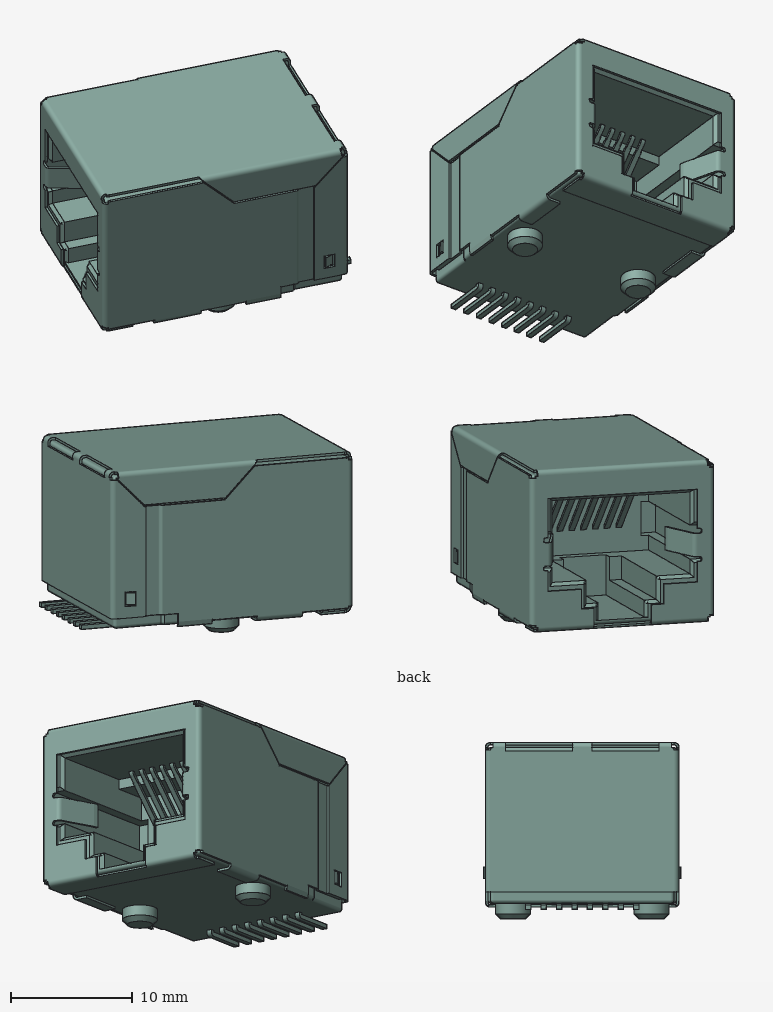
import cadquery as cq
import math

SHIELD_WIDTH = 15.9
SHIELD_DEPTH = 21.32
SHIELD_HEIGHT = 13.5
SHEET = 0.2
BEND = 2 * SHEET
HALF_WIDTH = SHIELD_WIDTH / 2

CORNER_RELIEF = 0.61
RELIEF_DEPTH = 0.43
MOUTH_HALF_WIDTHS = (6.45, 3.56, 2.47)
MOUTH_TOP = 11.15
MOUTH_STEPS = (3.4, 1.75)
SPRING_BOTTOM = 5.52
SPRING_TOP = 7.47
SPRING_SLOT = 0.4
SPRING_SLOT_END = 6.83
SPRING_ANGLE = 20.6
SPRING_TIP_X = 4.95
LIP_LENGTH = 0.43
LIP_OFFSET = 0.1
FLAP_FRONT = 8.4
FLAP_DROP = 2.88
FLAP_GAP = 0.15
FLAP_SIDE_GAP = 0.1
REAR_FLAP_FRONT = 18.32
REAR_BOTTOM = 1.25
NOTCH_FRONT = 15.44
JOG_LEAD = 16.65
JOG_START = 16.87
JOG_END = 17.02
JOG_ROUND = 0.15
JOG_REAR = 20.32
PANEL_BOTTOM = 0.45
FRONT_TAB_DEPTH = 2.7
SIDE_TAB = (4.47, 8.5)
SIDE_TAB_REACH = 1.36
REAR_TAB = (12.45, NOTCH_FRONT)
REAR_TAB_Z = (0.14, 0.55)
REAR_TAB_LEAN = 0.1
TOP_SLIT_X = (0.8, 6.29)
TOP_SLIT_DEPTH = 0.65
TOP_SLIT_DROP = 0.68
BARB_Y = (19.18, 20.13)
BARB_Z = (2.22, 3.43)
BARB_TONGUE_Y = (19.27, 20.0)
BARB_MARGIN = 0.11
BARB_REACH = 0.14

HOUSING_FRONT = SHEET
HOUSING_REAR = 20.93
HOUSING_BOTTOM = 0.32
HOUSING_TOP = SHIELD_HEIGHT - BEND
HOUSING_HALF = HALF_WIDTH - SHEET
REAR_HALF = HOUSING_HALF - SHEET
HOUSING_JOG = (16.57, 16.8)
HOUSING_ROUND = 0.27
CAVITY_HALF_WIDTHS = (5.95, 3.02, 1.97)
CAVITY_TOP = 10.87
CAVITY_STEPS = (4.05, 2.09)
CAVITY_FLOOR = 0.68
CAVITY_DEPTHS = (11.35, 9.53, 10.45)
MOUTH_CHAMFER = 0.27
POCKET_X = (5.31, 6.92)
POCKET_Z = (5.27, 8.1)
POCKET_DEPTH = 12.48
LEDGE_BOTTOM = 10.05
LEDGE_FRONT = 8.17
CONTACT_COUNT = 8
CONTACT_PITCH = 1.017
CONTACT_SHIFT = -0.18
CONTACT_WIDTH = 0.48
CONTACT_TOP_WIDTH = 0.39
CONTACT_BOTTOM = 6.05
CONTACT_THICKNESS = 0.23
CONTACT_BEND = 0.5
PIN_PITCH = 1.265
PIN_WIDTH = 0.45
PIN_THICKNESS = 0.36
PIN_BOTTOM = -0.18
PIN_FRONT = 18.8
PIN_TIP = 22.7
PEG_X = 5.68
PEG_Y = 10.75
PEG_DIAMETER = 2.88
PEG_CHAMFER = 0.4
PEG_BOTTOM = -0.95

SIDES = (-1, 1)


def block(x_range, y_range, z_range):
    """Box between two limits on each axis, given in either order."""
    limits = [sorted(r) for r in (x_range, y_range, z_range)]
    sizes = [high - low for low, high in limits]
    return cq.Workplane("XY").box(*sizes, centered=False).translate(tuple(low for low, high in limits))


def mouth_outline(half_widths, top, steps, bottom):
    """Points of the stepped plug opening, in X and Z."""
    right = [
        (half_widths[0], top),
        (half_widths[0], steps[0]),
        (half_widths[1], steps[0]),
        (half_widths[1], steps[1]),
        (half_widths[2], steps[1]),
        (half_widths[2], bottom),
    ]
    left = [(-x, z) for x, z in reversed(right)]
    return right + left


def front_prism(points, front, depth, taper=0):
    """Extrude an X-Z outline from Y = front toward the rear."""
    plane = cq.Workplane(cq.Plane((0, front, 0), xDir=(1, 0, 0), normal=(0, -1, 0)))
    return plane.polyline(points).close().extrude(-depth, taper=taper)


def side_prism(points, x_range):
    """Extrude a Y-Z outline between two X limits."""
    low, high = sorted(x_range)
    return cq.Workplane("YZ").workplane(offset=low).polyline(points).close().extrude(high - low)




def shield_skin():
    """Hollow sheet metal box with rounded bends."""
    outer = block((-HALF_WIDTH, HALF_WIDTH), (0, SHIELD_DEPTH), (0, SHIELD_HEIGHT))
    inner_half = HALF_WIDTH - SHEET
    inner = block((-inner_half, inner_half), (SHEET, SHIELD_DEPTH - SHEET), (SHEET, SHIELD_HEIGHT - SHEET))
    return outer.edges().fillet(BEND).cut(inner.edges().fillet(BEND - SHEET))


def cut_corner_reliefs(shield):
    """Open the corners, shortening each of the three bends that meet there."""
    for side in SIDES:
        for y, inward_y in ((0, 1), (SHIELD_DEPTH, -1)):
            for z, inward_z in ((0, 1), (SHIELD_HEIGHT, -1)):
                for longest in range(3):
                    reach = [RELIEF_DEPTH] * 3
                    reach[longest] = CORNER_RELIEF
                    relief = block(
                        (side * HALF_WIDTH, side * (HALF_WIDTH - reach[0])),
                        (y, y + inward_y * reach[1]),
                        (z, z + inward_z * reach[2]),
                    )
                    shield = shield.cut(relief)
    return shield


def cut_underside(shield):
    """Open the underside, leaving only the front tab and one bent tab on each side panel."""
    full_x = (-HALF_WIDTH, HALF_WIDTH)
    tab_inner = HALF_WIDTH - SIDE_TAB_REACH
    shield = shield.cut(block(full_x, (FRONT_TAB_DEPTH, SIDE_TAB[0]), (0, PANEL_BOTTOM)))
    shield = shield.cut(block(full_x, (SIDE_TAB[1], SHIELD_DEPTH), (0, PANEL_BOTTOM)))
    shield = shield.cut(block((-tab_inner, tab_inner), SIDE_TAB, (0, BEND)))
    shield = shield.cut(block(full_x, REAR_TAB, (0, REAR_TAB_Z[1])))
    shield = shield.cut(block(full_x, (NOTCH_FRONT, SHIELD_DEPTH), (0, REAR_BOTTOM)))
    for side in SIDES:
        bend_x = (side * (HALF_WIDTH - BEND), side * HALF_WIDTH)
        shield = shield.cut(block(bend_x, (BEND, FRONT_TAB_DEPTH), (0, PANEL_BOTTOM)))
    return shield


def rear_tab(side):
    """Short tab continuing the side panel downward, leaning inward."""
    low, high = REAR_TAB_Z
    inner = HALF_WIDTH - SHEET
    points = [
        (side * HALF_WIDTH, high),
        (side * inner, high),
        (side * (inner - REAR_TAB_LEAN), low),
        (side * (HALF_WIDTH - REAR_TAB_LEAN), low),
    ]
    return front_prism(points, REAR_TAB[0], REAR_TAB[1] - REAR_TAB[0])


def cut_mouth(shield):
    """Stepped plug opening, with a relief slot above and below each spring."""
    outline = mouth_outline(MOUTH_HALF_WIDTHS, MOUTH_TOP, MOUTH_STEPS, SHEET)
    shield = shield.cut(front_prism(outline, 0, BEND))
    latch_half = MOUTH_HALF_WIDTHS[2]
    shield = shield.cut(block((-latch_half, latch_half), (0, BEND / 2), (0, SHEET)))
    slot_length = 2 * (SPRING_SLOT_END - MOUTH_HALF_WIDTHS[0])
    for side in SIDES:
        for z in (SPRING_TOP + SPRING_SLOT / 2, SPRING_BOTTOM - SPRING_SLOT / 2):
            slot = (
                cq.Workplane("XZ")
                .center(side * MOUTH_HALF_WIDTHS[0], z)
                .slot2D(slot_length, SPRING_SLOT)
                .extrude(-SHEET)
            )
            shield = shield.cut(slot)
    return shield


def spring(side):
    """Ground spring folded back from the edge of the opening into the cavity."""
    angle = math.radians(SPRING_ANGLE)
    root_x = MOUTH_HALF_WIDTHS[0]
    normal = (-math.cos(angle), -math.sin(angle))
    middle_angle = (angle + math.pi / 2) / 2
    middle = (-math.cos(middle_angle), -math.sin(middle_angle))

    def on_bend(radius, direction):
        return (root_x + radius * direction[0], BEND + radius * direction[1])

    face_start = on_bend(BEND, normal)
    back_start = on_bend(BEND - SHEET, normal)
    tip_y = face_start[1] + (face_start[0] - SPRING_TIP_X) / math.tan(angle)
    lip_end = (SPRING_TIP_X - LIP_OFFSET, tip_y + LIP_LENGTH)
    profile = (
        cq.Workplane("XY")
        .workplane(offset=SPRING_BOTTOM)
        .moveTo(root_x, 0)
        .threePointArc(on_bend(BEND, middle), face_start)
        .lineTo(SPRING_TIP_X, tip_y)
        .lineTo(*lip_end)
        .lineTo(lip_end[0] + SHEET, lip_end[1])
        .lineTo(SPRING_TIP_X + SHEET, tip_y)
        .lineTo(*back_start)
        .threePointArc(on_bend(BEND - SHEET, middle), (root_x, SHEET))
        .close()
    )
    blade = profile.extrude(SPRING_TOP - SPRING_BOTTOM)
    return blade if side > 0 else blade.mirror("YZ")


def flap_outline(drop, end_shift):
    """Side flap as a trapezoid with 45 degree ends, each moved outward by end_shift."""
    front = FLAP_FRONT - end_shift
    rear = SHIELD_DEPTH + end_shift
    return [
        (front, SHIELD_HEIGHT),
        (front + drop, SHIELD_HEIGHT - drop),
        (rear - drop, SHIELD_HEIGHT - drop),
        (rear, SHIELD_HEIGHT),
    ]


def shape_side(shield, side):
    """Divide one side wall into the front panel, the top flap and the rear flap."""
    wall_x = (side * (HALF_WIDTH - BEND), side * HALF_WIDTH)
    panel_top = SHIELD_HEIGHT - FLAP_DROP - FLAP_GAP
    bend_bottom = SHIELD_HEIGHT - BEND

    gap = side_prism(flap_outline(FLAP_DROP + FLAP_GAP, FLAP_SIDE_GAP), wall_x)
    gap = gap.cut(side_prism(flap_outline(FLAP_DROP, 0), wall_x))
    rear_corner = block(wall_x, (SHIELD_DEPTH - BEND, SHIELD_DEPTH), (0, SHIELD_HEIGHT))
    shield = shield.cut(gap.cut(rear_corner))

    open_bend = [
        (0, SHIELD_HEIGHT),
        (FLAP_FRONT, SHIELD_HEIGHT),
        (FLAP_FRONT + BEND, bend_bottom),
        (0, bend_bottom),
    ]
    shield = shield.cut(side_prism(open_bend, wall_x))
    shield = shield.cut(block(wall_x, (JOG_LEAD, REAR_FLAP_FRONT), (0, panel_top)))
    return shield.union(joggled_panel(side, panel_top))


def joggled_panel(side, top):
    """Rear end of the side panel, stepped inward by one sheet to pass under the rear flap."""
    outer = HALF_WIDTH
    middle = outer - SHEET
    inner = middle - SHEET
    points = [
        (outer, JOG_LEAD),
        (outer, JOG_START),
        (middle, JOG_END),
        (middle, JOG_REAR),
        (inner, JOG_REAR),
        (inner, JOG_END),
        (middle, JOG_START),
        (middle, JOG_LEAD),
    ]
    plan = cq.Workplane("XY").workplane(offset=REAR_BOTTOM).polyline(points).close()
    panel = plan.extrude(top - REAR_BOTTOM)
    bends = cq.selectors.BoxSelector(
        (0, JOG_START - JOG_ROUND, 0),
        (HALF_WIDTH + SHEET, JOG_END + JOG_ROUND, top),
    )
    panel = panel.edges("|Z").edges(bends).fillet(JOG_ROUND)
    return panel if side > 0 else panel.mirror("YZ")


def add_barb(shield, side):
    """Tongue of the joggled panel that leans outward through a window in the rear flap."""
    outer = HALF_WIDTH
    middle = outer - SHEET
    shield = shield.cut(block((side * middle, side * outer), BARB_Y, BARB_Z))
    tip, root = BARB_TONGUE_Y
    points = [
        (side * middle, root),
        (side * (outer + BARB_REACH), tip),
        (side * (middle + BARB_REACH), tip),
        (side * (middle - SHEET), root),
    ]
    low = BARB_Z[0] + BARB_MARGIN
    high = BARB_Z[1] - BARB_MARGIN
    tongue = cq.Workplane("XY").workplane(offset=low).polyline(points).close().extrude(high - low)
    return shield.union(tongue)


def cut_top_slits(shield):
    """Two openings along the rear top bend."""
    for side in SIDES:
        x_range = (side * TOP_SLIT_X[0], side * TOP_SLIT_X[1])
        y_range = (SHIELD_DEPTH - TOP_SLIT_DEPTH, SHIELD_DEPTH)
        shield = shield.cut(block(x_range, y_range, (SHIELD_HEIGHT - TOP_SLIT_DROP, SHIELD_HEIGHT)))
    return shield


def build_shield():
    shield = cut_corner_reliefs(shield_skin())
    shield = cut_underside(shield)
    shield = cut_mouth(shield)
    shield = cut_top_slits(shield)
    for side in SIDES:
        shield = shape_side(shield, side)
        shield = add_barb(shield, side)
        shield = shield.union(spring(side))
        shield = shield.union(rear_tab(side))
    return shield




def housing_block():
    """Rounded block, narrower behind the joggle of the shield."""
    right = [
        (HOUSING_HALF, HOUSING_FRONT),
        (HOUSING_HALF, HOUSING_JOG[0]),
        (REAR_HALF, HOUSING_JOG[1]),
        (REAR_HALF, HOUSING_REAR),
    ]
    left = [(-x, y) for x, y in reversed(right)]
    plan = cq.Workplane("XY").workplane(offset=HOUSING_BOTTOM).polyline(right + left).close()
    body = plan.extrude(HOUSING_TOP - HOUSING_BOTTOM)
    body = body.edges("|Z and (<Y or >Y)").fillet(HOUSING_ROUND)
    return body.faces("<Z or >Z").edges().fillet(HOUSING_ROUND)


def cut_cavity(body):
    """Plug cavity with a chamfered mouth and a separate depth for each width."""
    ceilings = (CAVITY_TOP, CAVITY_STEPS[0], CAVITY_STEPS[0])
    floors = CAVITY_STEPS + (CAVITY_FLOOR,)
    for half, back, ceiling, floor in zip(CAVITY_HALF_WIDTHS, CAVITY_DEPTHS, ceilings, floors):
        body = body.cut(block((-half, half), (HOUSING_FRONT, back), (floor, ceiling)))
    ledge_x = (-CAVITY_HALF_WIDTHS[0], CAVITY_HALF_WIDTHS[0])
    ledge = block(ledge_x, (LEDGE_FRONT, CAVITY_DEPTHS[0]), (LEDGE_BOTTOM, CAVITY_TOP))
    body = body.union(ledge)

    mouth = mouth_outline(
        [half + MOUTH_CHAMFER for half in CAVITY_HALF_WIDTHS],
        CAVITY_TOP + MOUTH_CHAMFER,
        [step - MOUTH_CHAMFER for step in CAVITY_STEPS],
        CAVITY_FLOOR - MOUTH_CHAMFER,
    )
    chamfer = front_prism(mouth, HOUSING_FRONT, MOUTH_CHAMFER, taper=45)
    above_floor = block((-HALF_WIDTH, HALF_WIDTH), (0, HOUSING_REAR), (CAVITY_FLOOR, SHIELD_HEIGHT))
    return body.cut(chamfer.intersect(above_floor))


def cut_spring_pocket(body, side):
    """Clearance for one spring, chamfered above and below at the front."""
    x_range = (side * POCKET_X[0], side * POCKET_X[1])
    body = body.cut(block(x_range, (HOUSING_FRONT, POCKET_DEPTH), POCKET_Z))
    low, high = POCKET_Z
    front = HOUSING_FRONT
    chamfer = [
        (front, low - MOUTH_CHAMFER),
        (front + MOUTH_CHAMFER, low),
        (front + MOUTH_CHAMFER, high),
        (front, high + MOUTH_CHAMFER),
    ]
    return body.cut(side_prism(chamfer, x_range))


def row_positions(pitch, shift=0):
    """X positions of a row of contacts or pins, centred on shift."""
    return [shift + (i - (CONTACT_COUNT - 1) / 2) * pitch for i in range(CONTACT_COUNT)]


def contact(x):
    """Contact that curves out of the cavity roof and slopes back at 45 degrees, narrower near the roof."""
    slope = math.radians(45)
    back = CAVITY_DEPTHS[0]
    inner_bend = CONTACT_BEND - CONTACT_THICKNESS
    back_height = CONTACT_THICKNESS / math.cos(slope)
    centre_y = back - (CAVITY_TOP - CONTACT_BOTTOM) + CONTACT_BEND / math.sin(slope)

    def on_bend(radius, angle):
        return (centre_y - radius * math.cos(angle), CAVITY_TOP - radius * math.sin(angle))

    wide_half = CONTACT_WIDTH / 2
    narrow_half = CONTACT_TOP_WIDTH / 2
    profile = (
        cq.Workplane("YZ")
        .workplane(offset=x - wide_half)
        .moveTo(*on_bend(CONTACT_BEND, 0))
        .threePointArc(on_bend(CONTACT_BEND, slope / 2), on_bend(CONTACT_BEND, slope))
        .lineTo(back, CONTACT_BOTTOM)
        .lineTo(back, CONTACT_BOTTOM + back_height)
        .lineTo(*on_bend(inner_bend, slope))
        .threePointArc(on_bend(inner_bend, slope / 2), on_bend(inner_bend, 0))
        .close()
    )
    wire = profile.extrude(CONTACT_WIDTH)
    for side in SIDES:
        trim_x = (x + side * narrow_half, x + side * wide_half)
        wire = wire.cut(block(trim_x, (0, back), (LEDGE_BOTTOM, CAVITY_TOP)))
    return wire


def solder_pin(x):
    """Foot that drops from the housing and bends toward the rear."""
    x_range = (x - PIN_WIDTH / 2, x + PIN_WIDTH / 2)
    foot = block(x_range, (PIN_FRONT, PIN_TIP), (PIN_BOTTOM, PIN_BOTTOM + PIN_THICKNESS))
    stem = block(x_range, (PIN_FRONT, PIN_FRONT + PIN_THICKNESS), (PIN_BOTTOM, CAVITY_FLOOR))
    return foot.union(stem).edges("|X and <Y and <Z").fillet(PIN_THICKNESS)


def peg(side):
    """Locating peg under the housing."""
    top = HOUSING_BOTTOM
    pin = cq.Workplane("XY").workplane(offset=PEG_BOTTOM).center(side * PEG_X, PEG_Y)
    return pin.circle(PEG_DIAMETER / 2).extrude(top - PEG_BOTTOM).faces("<Z").chamfer(PEG_CHAMFER)


def build_housing():
    body = cut_cavity(housing_block())
    for side in SIDES:
        body = cut_spring_pocket(body, side)
        body = body.union(peg(side))
    for x in row_positions(CONTACT_PITCH, CONTACT_SHIFT):
        body = body.union(contact(x))
    for x in row_positions(PIN_PITCH):
        body = body.union(solder_pin(x))
    return body


shield = build_shield()
housing = build_housing()
result = cq.Compound.makeCompound([shield.val(), housing.val()])